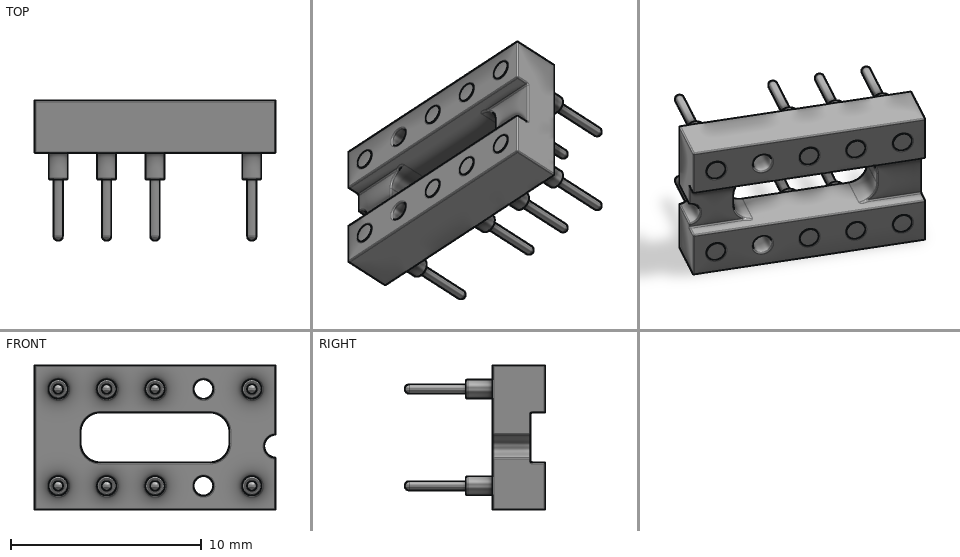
import cadquery as cq
LENGTH = 12.65
DEPTH = 2.78
HEIGHT = 7.59
EDGE_ROUND = 0.08

SLOT_LENGTH = 7.78
SLOT_HEIGHT = 2.59
SLOT_CORNER = 1.0
CHANNEL_DEPTH = 0.77

NOTCH_RADIUS = 0.6
NOTCH_Z = -0.45

ROW_SPACING = 5.07
PITCH = ROW_SPACING / 2
COLUMNS = 5
EMPTY_COLUMN = 3

COLLAR_RADIUS = 0.5
COLLAR_PROJECTION = 1.39
COLLAR_ROUND = 0.1
STEM_RADIUS = 0.25
PIN_PROJECTION = 4.59

COLUMN_X = [(column - (COLUMNS - 1) / 2) * PITCH for column in range(COLUMNS)]
ROW_Z = [-ROW_SPACING / 2, ROW_SPACING / 2]
HOLE_PLACES = [(x, z) for x in COLUMN_X for z in ROW_Z]
PIN_PLACES = [(x, z) for x, z in HOLE_PLACES if x != COLUMN_X[EMPTY_COLUMN]]


def front_plane():
    """XZ plane on the front face, with its normal pointing into the housing (+Y)."""
    return cq.Plane(origin=(0, 0, 0), xDir=(-1, 0, 0), normal=(0, 1, 0))


def through_cylinder(radius, x, z):
    """Cylinder along Y through the full housing depth."""
    return cq.Workplane(cq.Solid.makeCylinder(radius, DEPTH, cq.Vector(x, 0, z), cq.Vector(0, 1, 0)))


def make_housing():
    block = cq.Workplane(front_plane()).rect(LENGTH, HEIGHT).extrude(DEPTH)
    slot = (
        cq.Workplane(front_plane())
        .rect(SLOT_LENGTH, SLOT_HEIGHT)
        .extrude(DEPTH)
        .edges("|Y")
        .fillet(SLOT_CORNER)
    )
    channel = cq.Workplane("XY").box(LENGTH, CHANNEL_DEPTH, SLOT_HEIGHT).translate(
        (0, DEPTH - CHANNEL_DEPTH / 2, 0)
    )
    housing = block.cut(slot).cut(channel).cut(through_cylinder(NOTCH_RADIUS, LENGTH / 2, NOTCH_Z))
    for x, z in HOLE_PLACES:
        housing = housing.cut(through_cylinder(COLLAR_RADIUS, x, z))
    return housing.edges().fillet(EDGE_ROUND)


def make_pin(x, z):
    """Half profile in the YZ plane, revolved about the Y axis."""
    pin = (
        cq.Workplane("YZ")
        .moveTo(DEPTH, 0)
        .lineTo(DEPTH, COLLAR_RADIUS)
        .lineTo(COLLAR_ROUND - COLLAR_PROJECTION, COLLAR_RADIUS)
        .radiusArc((-COLLAR_PROJECTION, COLLAR_RADIUS - COLLAR_ROUND), -COLLAR_ROUND)
        .lineTo(-COLLAR_PROJECTION, STEM_RADIUS)
        .lineTo(STEM_RADIUS - PIN_PROJECTION, STEM_RADIUS)
        .radiusArc((-PIN_PROJECTION, 0), -STEM_RADIUS)
        .close()
        .revolve(360, (0, 0, 0), (1, 0, 0))
    )
    return pin.translate((x, 0, z))


housing = make_housing()
pins = [make_pin(x, z) for x, z in PIN_PLACES]

result = cq.Compound.makeCompound([housing.val(), *[pin.val() for pin in pins]])